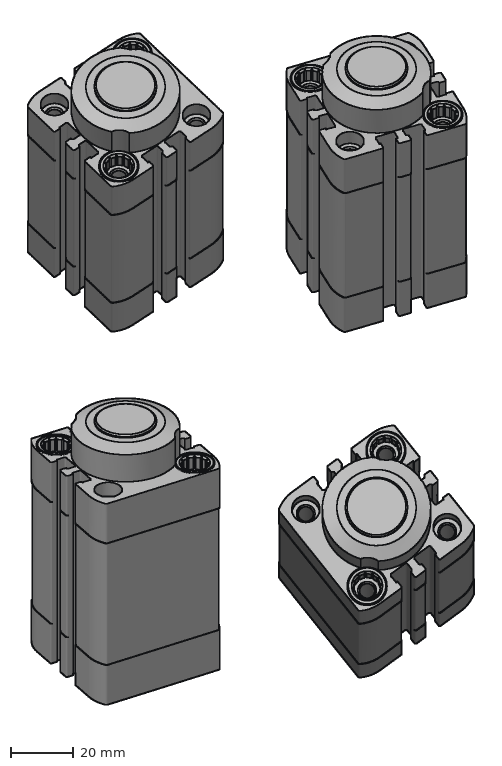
import cadquery as cq
import math

total_height = 89.0
body_width = 47.0
body_height = 76.0
half_width = body_width / 2

end_block_height = 15.0
block_corner_radius = 13.0
block_edge_fillet = 1.0
tube_inset = 0.13
tube_corner_radius = 12.0
tube_edge_fillet = 0.5
tube_height = body_height - 2 * end_block_height

rib_half_width = 2.2
neck_half_width = 1.4
slot_lip = 7.6
slot_pocket = 8.1
slot_lip_depth = 2.5
slot_depth = 5.8
slot_inner_fillet = 0.5
rib_edge_fillet = 0.5
lip_edge_fillet = 0.4
slotted_face_turns = (-90, 0, 90)

hole_pitch = 32.5
hole_offset = hole_pitch / 2
thread_core_diameter = 4.9
thread_diameter = 6.0
counterbore_diameter = 9.0
counterbore_depth = 5.2
screw_head_diameter = 12.8
screw_head_chamfer = 0.4
socket_diameter = 8.5
socket_tooth_diameter = 9.6
socket_rim_diameter = 10.0
socket_depth = 5.2
socket_teeth = 12
socket_tooth_half_angle = 5.0
plain_corners = ((-hole_offset, -hole_offset), (hole_offset, hole_offset))
screw_corners = ((-hole_offset, hole_offset), (hole_offset, -hole_offset))

boss_diameter = 35.0
boss_flat_diameter = 25.5
boss_shoulder_height = 86.2
boss_height = 88.0
rod_diameter = 20.0
rod_chamfer = 0.5
rod_bottom = body_height - end_block_height


def turned(point, angle):
    """An XY point turned about the Z axis by an angle in degrees."""
    x, y = point
    c = math.cos(math.radians(angle))
    s = math.sin(math.radians(angle))
    return (x * c - y * s, x * s + y * c)


def mirrored_pair(x, y):
    """A point and its mirror image across the YZ plane."""
    return [(x, y), (-x, y)]


def round_upright_edges(solid, points, radius):
    """Fillet the vertical edges of a solid that stand on the given XY points."""
    tolerance = 0.01

    def is_chosen(edge):
        centre = edge.Center()
        return any(math.hypot(centre.x - x, centre.y - y) < tolerance for x, y in points)

    return solid.edges("|Z").filter(is_chosen).fillet(radius)


def body_prism(half, radius, edge_fillet, height):
    """Square prism whose corners are large arcs, tangent to the X faces level with the corner holes
    and blended into the Y faces by a small fillet."""
    rise = half - hole_offset
    arc_centre_x = half - radius
    end_x = arc_centre_x + math.sqrt(radius ** 2 - rise ** 2)
    middle_angle = math.asin(rise / radius) / 2
    middle_x = arc_centre_x + radius * math.cos(middle_angle)
    middle_y = hole_offset + radius * math.sin(middle_angle)
    prism = (
        cq.Workplane("XY")
        .moveTo(half, -hole_offset)
        .lineTo(half, hole_offset)
        .threePointArc((middle_x, middle_y), (end_x, half))
        .lineTo(-end_x, half)
        .threePointArc((-middle_x, middle_y), (-half, hole_offset))
        .lineTo(-half, -hole_offset)
        .threePointArc((-middle_x, -middle_y), (-end_x, -half))
        .lineTo(end_x, -half)
        .threePointArc((middle_x, -middle_y), (half, -hole_offset))
        .close()
        .extrude(height)
    )
    arc_ends = mirrored_pair(end_x, half) + mirrored_pair(end_x, -half)
    return round_upright_edges(prism, arc_ends, edge_fillet)


def slot_pair_cutter(height):
    """The two slots of the -Y face; a T-shaped rib is left between them."""
    face = -half_width
    lip_floor = face + slot_lip_depth
    floor = face + slot_depth
    slot = (
        cq.Workplane("XY")
        .polyline([
            (rib_half_width, face),
            (slot_lip, face),
            (slot_lip, lip_floor),
            (slot_pocket, lip_floor),
            (slot_pocket, floor),
            (neck_half_width, floor),
            (neck_half_width, lip_floor),
            (rib_half_width, lip_floor),
        ])
        .close()
        .extrude(height)
    )
    inner_corners = [(slot_pocket, floor), (neck_half_width, floor), (neck_half_width, lip_floor)]
    slot = round_upright_edges(slot, inner_corners, slot_inner_fillet)
    return slot.union(slot.mirror("YZ"))


def body_section(half, radius, edge_fillet, bottom, height):
    """One length of the slotted body; the slots keep their places whatever the outline."""
    section = body_prism(half, radius, edge_fillet, height)
    cutter = slot_pair_cutter(height)
    rib_edges = []
    lip_edges = []
    for angle in slotted_face_turns:
        section = section.cut(cutter.rotate((0, 0, 0), (0, 0, 1), angle))
        rib_edges += [turned(p, angle) for p in mirrored_pair(rib_half_width, -half)]
        lip_edges += [turned(p, angle) for p in mirrored_pair(slot_lip, -half)]
    section = round_upright_edges(section, rib_edges, rib_edge_fillet)
    section = round_upright_edges(section, lip_edges, lip_edge_fillet)
    return section.translate((0, 0, bottom))


def cylinder(diameter, bottom, top):
    """Upright cylinder on the Z axis between two heights."""
    return cq.Workplane("XY", origin=(0, 0, bottom)).circle(diameter / 2).extrude(top - bottom)


def cone(bottom_diameter, top_diameter, bottom, top):
    """Upright truncated cone on the Z axis between two heights."""
    return (
        cq.Workplane("XZ")
        .polyline([(0, bottom), (bottom_diameter / 2, bottom), (top_diameter / 2, top), (0, top)])
        .close()
        .revolve(360, (0, 0, 0), (0, 1, 0))
    )


def threaded_hole_cutter(floor):
    """Hole through the body with a 45-degree lead-in at the floor of its counterbore or socket."""
    lead_in = (thread_diameter - thread_core_diameter) / 2
    core = cylinder(thread_core_diameter, 0, floor)
    return core.union(cone(thread_core_diameter, thread_diameter, floor - lead_in, floor))


def plain_corner_cutter():
    """Counterbored threaded hole."""
    floor = body_height - counterbore_depth
    return threaded_hole_cutter(floor).union(cylinder(counterbore_diameter, floor, body_height))


def socket_cutter(floor):
    """Splined screw socket: a round recess with V-shaped teeth and a 45-degree rim chamfer."""
    root_radius = socket_diameter / 2
    tip_radius = socket_tooth_diameter / 2
    foot_x = root_radius * math.cos(math.radians(socket_tooth_half_angle))
    foot_y = root_radius * math.sin(math.radians(socket_tooth_half_angle))
    rim_depth = (socket_rim_diameter - socket_diameter) / 2
    tooth = (
        cq.Workplane("XY", origin=(0, 0, floor))
        .polyline([(0, 0), (foot_x, -foot_y), (tip_radius, 0), (foot_x, foot_y)])
        .close()
        .extrude(body_height - floor)
    )
    socket = cylinder(socket_diameter, floor, body_height)
    for i in range(socket_teeth):
        socket = socket.union(tooth.rotate((0, 0, 0), (0, 0, 1), i * 360 / socket_teeth))
    return socket.union(cone(socket_diameter, socket_rim_diameter, body_height - rim_depth, body_height))


def screw_corner_cutter():
    """Clearance above the flush screw head, the chamfer ring round its edge, its socket and its hole."""
    floor = body_height - socket_depth
    chamfer_bottom = body_height - screw_head_chamfer
    head_top_diameter = screw_head_diameter - 2 * screw_head_chamfer
    clearance = cylinder(screw_head_diameter, body_height, boss_height)
    head_edge = cone(screw_head_diameter, head_top_diameter, chamfer_bottom, body_height)
    ring = cylinder(screw_head_diameter, chamfer_bottom, body_height).cut(head_edge)
    return clearance.union(ring).union(socket_cutter(floor)).union(threaded_hole_cutter(floor))


def make_housing():
    """Slotted body with end blocks, front boss, corner holes and the bore for the rod."""
    housing = body_section(
        half_width - tube_inset, tube_corner_radius, tube_edge_fillet, end_block_height, tube_height)
    for bottom in (0, body_height - end_block_height):
        housing = housing.union(
            body_section(half_width, block_corner_radius, block_edge_fillet, bottom, end_block_height))
    housing = housing.union(cylinder(boss_diameter, body_height, boss_shoulder_height))
    housing = housing.union(cone(boss_diameter, boss_flat_diameter, boss_shoulder_height, boss_height))
    for x, y in plain_corners:
        housing = housing.cut(plain_corner_cutter().translate((x, y, 0)))
    for x, y in screw_corners:
        housing = housing.cut(screw_corner_cutter().translate((x, y, 0)))
    return housing.cut(cylinder(rod_diameter, rod_bottom, boss_height))


def make_rod():
    """Piston rod, chamfered at its free end."""
    return cylinder(rod_diameter, rod_bottom, total_height).faces(">Z").edges().chamfer(rod_chamfer)


housing = make_housing()
rod = make_rod()
result = cq.Compound.makeCompound([housing.solids().val(), rod.val()])